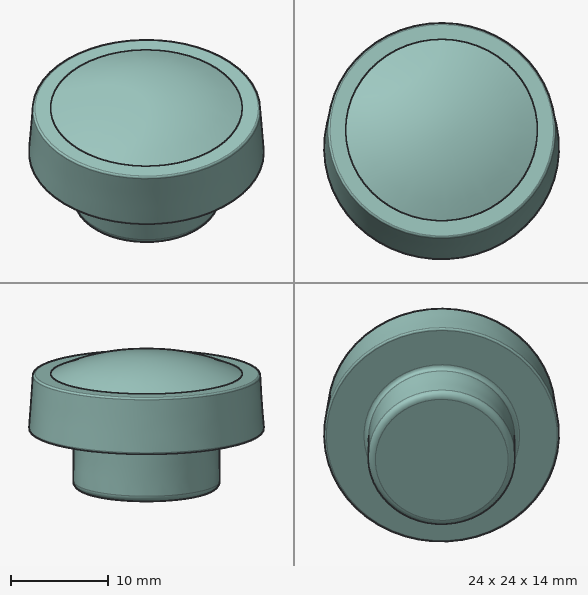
import cadquery as cq
import math

stem_end_radius = 7.5
stem_neck_radius = 7.46
stem_height = 6.0
stem_end_fillet = 0.72
neck_fillet = 0.48

head_base_radius = 12.02
head_top_radius = 11.62
head_height = 5.88
rim_fillet = 0.22

dome_radius = 9.8
total_height = 14.0

shoulder_z = stem_height + head_height
dome_rise = total_height - shoulder_z
sphere_radius = (dome_radius**2 + dome_rise**2) / (2 * dome_rise)


def make_body():
    """Stem and head as one turned solid with sharp edges."""
    return (
        cq.Workplane("XZ")
        .lineTo(stem_end_radius, 0)
        .lineTo(stem_neck_radius, stem_height)
        .lineTo(head_base_radius, stem_height)
        .lineTo(head_top_radius, shoulder_z)
        .lineTo(0, shoulder_z)
        .close()
        .revolve(360, (0, 0, 0), (0, 1, 0))
    )


def fillet_ring(body, radius, z, fillet_radius):
    """Round the circular edge of the given radius at height z."""
    margin = 0.002
    ring = body.edges("%CIRCLE").filter(
        lambda edge: abs(edge.Center().z - z) < margin and abs(edge.radius() - radius) < margin
    )
    return ring.fillet(fillet_radius)


def make_dome():
    """Cap cut from a sphere centred below the shoulder."""
    centre_z = total_height - sphere_radius
    mid_radius = dome_radius / 2
    mid_z = centre_z + math.sqrt(sphere_radius**2 - mid_radius**2)
    return (
        cq.Workplane("XZ")
        .moveTo(0, shoulder_z)
        .lineTo(dome_radius, shoulder_z)
        .threePointArc((mid_radius, mid_z), (0, total_height))
        .close()
        .revolve(360, (0, 0, 0), (0, 1, 0))
    )


body = make_body()
body = fillet_ring(body, stem_end_radius, 0, stem_end_fillet)
body = fillet_ring(body, stem_neck_radius, stem_height, neck_fillet)
body = fillet_ring(body, head_base_radius, stem_height, rim_fillet)
body = fillet_ring(body, head_top_radius, shoulder_z, rim_fillet)
result = body.union(make_dome())